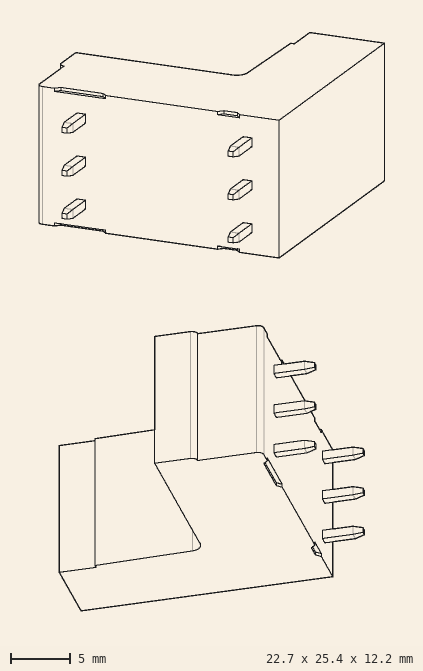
import cadquery as cq
import math

length = 22.7
overall_depth = 25.4
height = 12.22
pin_length = 3.48
body_depth = overall_depth - pin_length

base_depth = 9.22
arm_width = 6.85
arm_step_drop = 3.2
arm_step_width = 0.33
arm_draft = 1.5
inner_radius = 0.97

end_step_width = 0.5
end_step_y = 5.61
end_radius = end_step_width

recess_depth = 0.4
recess_height = 0.28
recess_spans = [(2.1, 6.8), (17.07, 19.1)]

pin_width = 0.8
pin_tip_width = 0.45
pin_tip_length = 0.81
pin_pitch = 3.8
pin_row_spacing = 15.25
first_pin_x = 4.57
pin_rows = 2
pins_per_row = 3


def make_body():
    arm_x = length - arm_width
    ledge_y = body_depth - arm_step_drop
    ledge_x = arm_x - arm_step_width
    corner_x = ledge_x - (ledge_y - base_depth) * math.tan(math.radians(arm_draft))
    body = (
        cq.Workplane("XY")
        .moveTo(end_step_width + end_radius, 0)
        .lineTo(length, 0)
        .lineTo(length, body_depth)
        .lineTo(arm_x, body_depth)
        .lineTo(arm_x, ledge_y)
        .lineTo(ledge_x, ledge_y)
        .lineTo(corner_x, base_depth)
        .lineTo(0, base_depth)
        .lineTo(0, end_step_y + end_radius)
        .radiusArc((end_step_width, end_step_y), -end_radius)
        .lineTo(end_step_width, end_radius)
        .radiusArc((end_step_width + end_radius, 0), -end_radius)
        .close()
        .extrude(height)
    )
    inner_corner = cq.selectors.NearestToPointSelector((corner_x, base_depth, height / 2))
    return body.edges("|Z").edges(inner_corner).fillet(inner_radius)


def make_recess(x_start, x_end, z_start):
    outline = [
        (x_start, 0),
        (x_end, 0),
        (x_end - recess_depth, recess_depth),
        (x_start + recess_depth, recess_depth),
    ]
    return cq.Workplane("XY").workplane(offset=z_start).polyline(outline).close().extrude(recess_height)


def make_pin(x, z):
    shank_length = pin_length - pin_tip_length
    shank = cq.Workplane("XZ").center(x, z).rect(pin_width, pin_width).extrude(shank_length)
    tip = (
        cq.Workplane("XZ", origin=(x, -shank_length, z))
        .rect(pin_width, pin_width)
        .workplane(offset=pin_tip_length)
        .rect(pin_tip_width, pin_tip_width)
        .loft()
    )
    return shank.union(tip)


result = make_body()

for x_start, x_end in recess_spans:
    for z_start in (0, height - recess_height):
        result = result.cut(make_recess(x_start, x_end, z_start))

for row in range(pin_rows):
    pin_x = first_pin_x + row * pin_row_spacing
    for index in range(pins_per_row):
        pin_z = height / 2 + (index - (pins_per_row - 1) / 2) * pin_pitch
        result = result.union(make_pin(pin_x, pin_z))